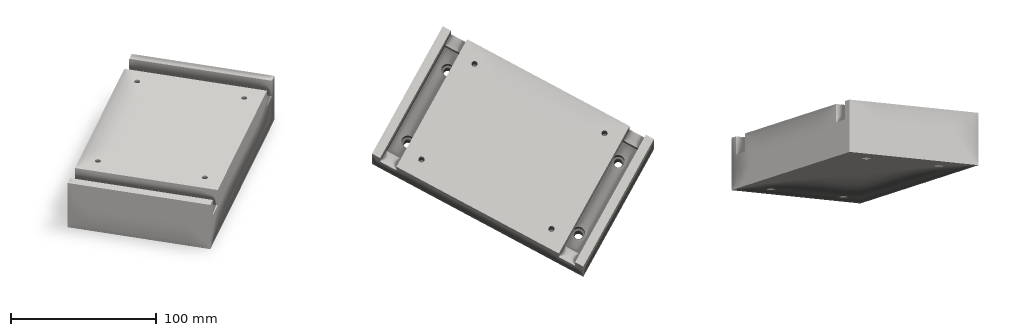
import cadquery as cq

WIDTH = 101.6
LENGTH = 165.1
HEIGHT = 36.576

END_PLATE_THICKNESS = 6.35

TOP_PLATE_LENGTH = 127.0
TOP_PLATE_THICKNESS = 12.7
TOP_HOLE_DIAMETER = 4.2
TOP_HOLE_SPACING_X = 76.2
TOP_HOLE_SPACING_Y = 101.6

CENTER_BASE_WIDTH = 66.675
SIDE_BAR_WIDTH = 8.73125
CHANNEL_DEPTH = 6.35
BAR_LENGTH = LENGTH - 2 * END_PLATE_THICKNESS
SIDE_BAR_HEIGHT = HEIGHT - TOP_PLATE_THICKNESS
CENTER_BASE_HEIGHT = SIDE_BAR_HEIGHT - CHANNEL_DEPTH
RAIL_WIDTH = (WIDTH - CENTER_BASE_WIDTH) / 2 - SIDE_BAR_WIDTH

MOUNT_HOLE_DIAMETER = 5.9
MOUNT_BORE_DIAMETER = 9.0
MOUNT_BORE_DEPTH = 6.35
MOUNT_SPACING_X = 57.15
MOUNT_SPACING_Y = 133.35

SIDES = (-1, 1)


def block(width, length, height, x=0.0, y=0.0, z=0.0):
    """Box centred on (x, y) with its underside at z."""
    return cq.Workplane("XY").box(width, length, height, centered=(True, True, False)).translate((x, y, z))


def make_end_plate(side):
    y = side * (LENGTH - END_PLATE_THICKNESS) / 2
    return block(WIDTH, END_PLATE_THICKNESS, HEIGHT, y=y)


def make_side_bar(side):
    x = side * (WIDTH - SIDE_BAR_WIDTH) / 2
    return block(SIDE_BAR_WIDTH, BAR_LENGTH, SIDE_BAR_HEIGHT, x=x)


def make_rail(side):
    """Low bar filling the space between the centre base and a side bar."""
    x = side * (CENTER_BASE_WIDTH + RAIL_WIDTH) / 2
    return block(RAIL_WIDTH, BAR_LENGTH, CENTER_BASE_HEIGHT, x=x)


def make_center_base():
    """Centre slab, flush with the rails, with a counterbored hole near each corner."""
    slab = block(CENTER_BASE_WIDTH, BAR_LENGTH, CENTER_BASE_HEIGHT)
    hole_centers = slab.faces(">Z").workplane().rarray(MOUNT_SPACING_X, MOUNT_SPACING_Y, 2, 2)
    return hole_centers.cboreHole(MOUNT_HOLE_DIAMETER, MOUNT_BORE_DIAMETER, MOUNT_BORE_DEPTH)


def make_top_plate():
    """Flat plate with four plain through holes."""
    plate = block(WIDTH, TOP_PLATE_LENGTH, TOP_PLATE_THICKNESS, z=SIDE_BAR_HEIGHT)
    hole_centers = plate.faces(">Z").workplane().rarray(TOP_HOLE_SPACING_X, TOP_HOLE_SPACING_Y, 2, 2)
    return hole_centers.hole(TOP_HOLE_DIAMETER)


center_base = make_center_base()
top_plate = make_top_plate()
end_plates = [make_end_plate(side) for side in SIDES]
side_bars = [make_side_bar(side) for side in SIDES]
rails = [make_rail(side) for side in SIDES]

bodies = [center_base, top_plate, *end_plates, *side_bars, *rails]
result = cq.Compound.makeCompound([body.val() for body in bodies])